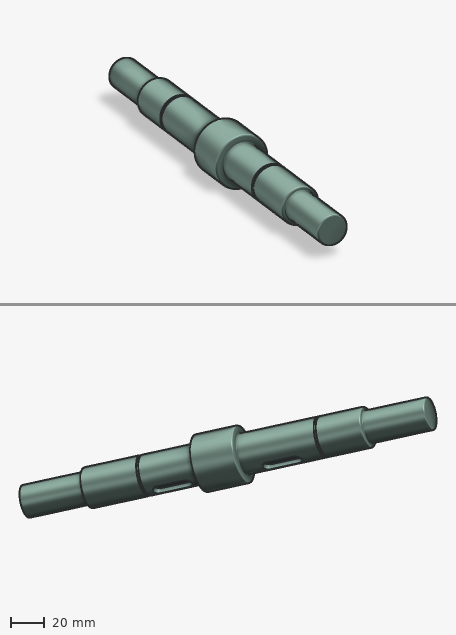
import cadquery as cq
import math

total_length = 260.0
journal_diameter = 20.0
body_diameter = 25.0
collar_diameter = 35.0

journal_length = 40.0
collar_start = 119.9
collar_length = 27.5
edge_fillet = 1.0
root_fillet = 0.5

groove_diameter = 24.0
groove_width = 1.3
groove_starts = (68.6, 182.5)

keyway_width = 8.0
keyway_length = 25.0
keyway_depth = 4.0
keyway_centers = (95.0, 165.4)

left_end = -total_length / 2


def cylinder(start, length, diameter):
    """Cylinder along X whose left face is `start` from the left end of the shaft."""
    return (
        cq.Workplane("YZ")
        .workplane(offset=left_end + start)
        .circle(diameter / 2)
        .extrude(length)
    )


def rounded_cylinder(start, length, diameter):
    """Cylinder with both end edges rounded."""
    return cylinder(start, length, diameter).faces("<X or >X").fillet(edge_fillet)


def root_ring(face_position, direction, diameter):
    """Concave fillet ring at the foot of a shoulder face, spreading in `direction` along X."""
    radius = diameter / 2
    x = left_end + face_position
    toe = x + direction * root_fillet
    middle = root_fillet * (1 - math.cos(math.pi / 4))
    return (
        cq.Workplane("XY")
        .moveTo(x, radius + root_fillet)
        .threePointArc((x + direction * middle, radius + middle), (toe, radius))
        .lineTo(toe, 0)
        .lineTo(x, 0)
        .close()
        .revolve(360, (0, 0, 0), (1, 0, 0))
    )


def groove_ring(start):
    """Ring of material to remove from the body for one groove."""
    outer = cylinder(start, groove_width, collar_diameter)
    return outer.cut(cylinder(start, groove_width, groove_diameter))


def keyway(center):
    """Round-ended slot to remove from the underside of the body."""
    return (
        cq.Workplane("XY")
        .workplane(offset=-body_diameter / 2)
        .center(left_end + center, 0)
        .slot2D(keyway_length, keyway_width)
        .extrude(keyway_depth)
    )


collar_end = collar_start + collar_length
body_end = total_length - journal_length

journals = rounded_cylinder(0, total_length, journal_diameter)
body = rounded_cylinder(journal_length, body_end - journal_length, body_diameter)
collar = rounded_cylinder(collar_start, collar_length, collar_diameter)
result = journals.union(body).union(collar)

shoulders = (
    (journal_length, -1, journal_diameter),
    (collar_start, -1, body_diameter),
    (collar_end, 1, body_diameter),
    (body_end, 1, journal_diameter),
)
for face_position, direction, diameter in shoulders:
    result = result.union(root_ring(face_position, direction, diameter))

for groove_start in groove_starts:
    result = result.cut(groove_ring(groove_start))

for keyway_center in keyway_centers:
    result = result.cut(keyway(keyway_center))